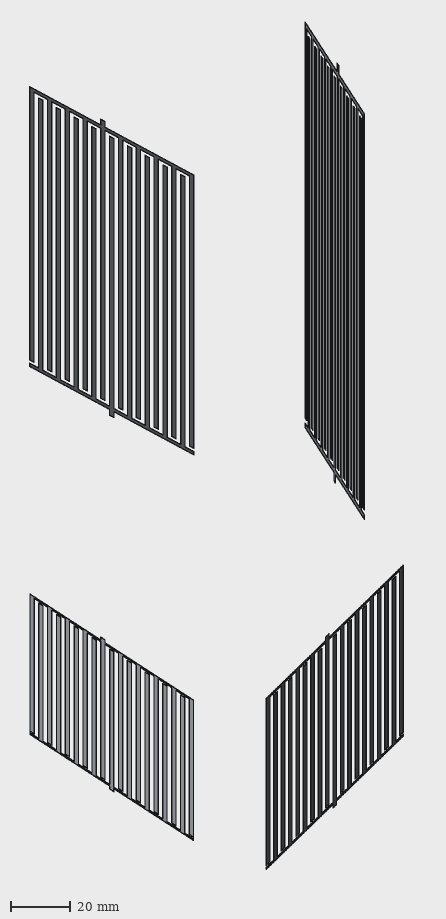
import cadquery as cq

total_width = 66.7
total_height = 162.7
thickness = 0.04

finger_count = 19
strip_width = total_width / (2 * finger_count - 1)
finger_pitch = 2 * strip_width
gap = strip_width

tab_length = 3.3
bar_top = total_height / 2 - tab_length
bar_inner = bar_top - strip_width
finger_tip = bar_inner - gap

upper_fingers = range(0, finger_count, 2)
lower_fingers = range(1, finger_count, 2)
upper_tab_finger = 8
lower_tab_finger = 9


def finger_x(index):
    """X of the centre line of a finger, counted from the -X side."""
    return (index - (finger_count - 1) / 2) * finger_pitch


def strip(center_x, width, z_start, z_end):
    """Thin upright rectangle, centred on Y = 0, between two heights."""
    height = abs(z_end - z_start)
    center_z = (z_start + z_end) / 2
    return cq.Workplane("XY").box(width, thickness, height).translate((center_x, 0, center_z))


def comb(fingers, tab_finger, side):
    """Comb with its bar at the top (side = 1) or at the bottom (side = -1)."""
    body = strip(0, total_width, side * bar_inner, side * bar_top)
    for index in fingers:
        body = body.union(strip(finger_x(index), strip_width, -side * finger_tip, side * bar_top))
    tab = strip(finger_x(tab_finger), strip_width, side * bar_inner, side * total_height / 2)
    return body.union(tab).clean()


upper_comb = comb(upper_fingers, upper_tab_finger, 1)
lower_comb = comb(lower_fingers, lower_tab_finger, -1)

result = cq.Compound.makeCompound([upper_comb.val(), lower_comb.val()])